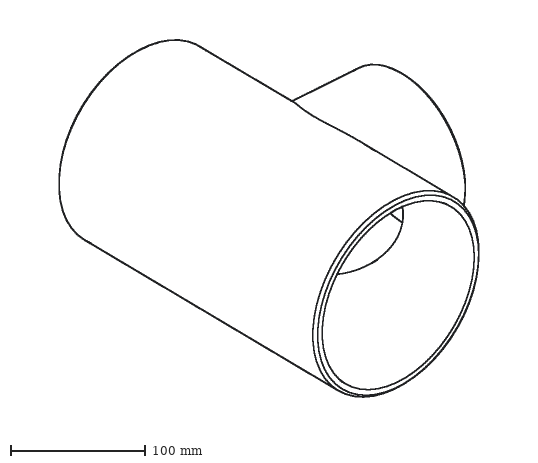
import cadquery as cq

run_length = 285.5
run_diameter = 168.2
run_wall = 7.0

branch_diameter = 141.3
branch_wall = 6.5
branch_reach = 136.5

bevel = 2.5


def cylinder(plane, diameter, start, end):
    """Solid cylinder along the plane normal."""
    return cq.Workplane(plane).workplane(offset=start).circle(diameter / 2).extrude(end - start)


half_length = run_length / 2
run = cylinder("YZ", run_diameter, -half_length, half_length).faces("<X or >X").chamfer(bevel)
branch = cylinder("ZX", branch_diameter, 0, branch_reach).faces(">Y").chamfer(bevel)

run_bore = cylinder("YZ", run_diameter - 2 * run_wall, -half_length, half_length)
branch_bore = cylinder("ZX", branch_diameter - 2 * branch_wall, 0, branch_reach)

result = run.union(branch).cut(run_bore).cut(branch_bore)